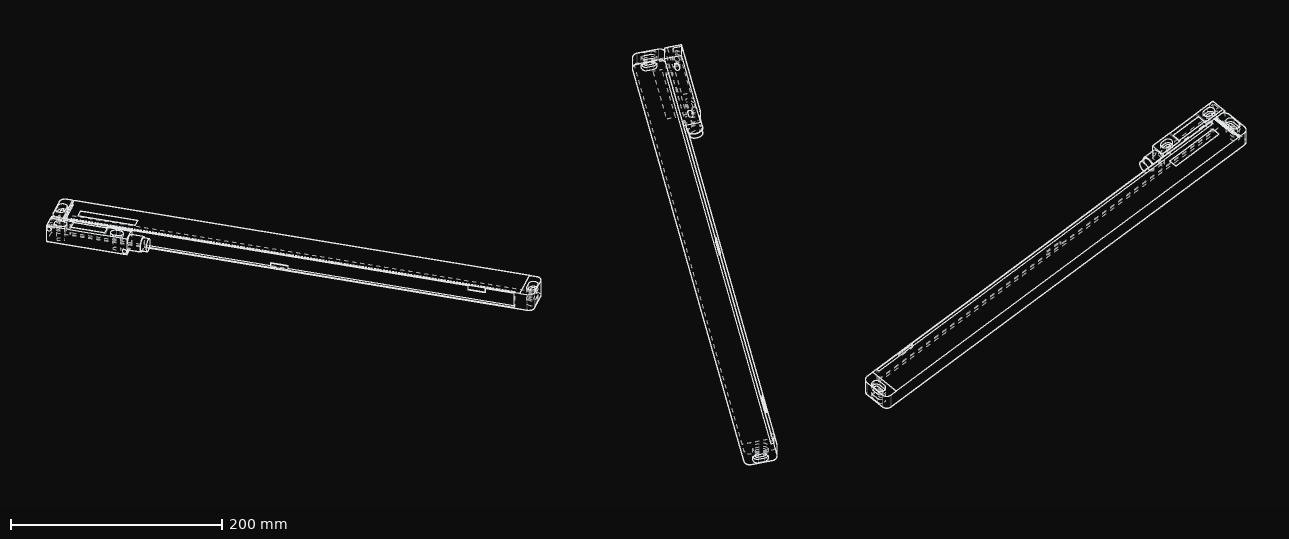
import cadquery as cq

length = 475.0
height = 18.0
total_depth = 49.0
housing_depth = 32.5
housing_front = total_depth - housing_depth
housing_mid_y = housing_front + housing_depth / 2
relief = 0.25

corner_radius = 5.5
end_cap_length = 13.0
end_hole_inset = 5.0
end_slot_straight = 6.0
end_slot_width = 4.5
end_counterbore_width = 9.0
counterbore_depth = 5.5

groove_start = 11.5
deep_groove_width = 1.5
shelf_width = 3.0
shelf_length = 24.5
shelf_relief = relief / 2

label_start = 23.8
label_length = 56.5
label_width = 8.5
label_back_gap = 15.5

track_inset = 18.5
track_depth = 3.0
lip_thickness = 1.0
tab_length = 17.0
tab_drop = 5.5
lower_tab_x = 224.5
upper_tab_x = 419.5

head_length = 79.5
head_depth = housing_front
head_mid_x = head_length / 2
ledge_width = 3.0
pad_length = 22.0
pad_slope = 1.5
plateau_length = 33.2
plateau_width = 8.5
plateau_front_gap = 4.5
bridge_offset = 10.0
bridge_length = 5.0
bridge_width = 1.0

head_slot_inset = 12.0
head_slot_y = 7.0
head_slot_straight = 4.0
head_slot_width = 4.5
head_counterbore_width = 8.5

corner_hole_radius = 2.15
corner_hole_inset = 2.5
corner_hole_drop = 3.5
corner_hole_depth = 8.5

connector_y = head_depth / 2
collar_radius = 7.5
collar_length = 13.0
spigot_radius = 6.4
spigot_length = 5.5


def box(x, y, z, size_x, size_y, size_z):
    """Box given by its lowest corner and its sizes."""
    return cq.Workplane("XY").box(size_x, size_y, size_z, centered=False).translate((x, y, z))


def slot(x, y, z, straight, width, depth, angle):
    """Round-ended slot cutter rising from z; `straight` is the distance between its end centres."""
    return cq.Workplane("XY", origin=(x, y, z)).slot2D(straight + width, width, angle).extrude(depth)


def make_end_holes():
    """Slotted mounting holes at both ends, counterbored from above and below."""
    holes = cq.Workplane("XY")
    for x in (end_hole_inset, length - end_hole_inset):
        holes = holes.add(slot(x, housing_mid_y, 0, end_slot_straight, end_slot_width, height, 90))
        for z in (0, height - counterbore_depth):
            holes = holes.add(
                slot(x, housing_mid_y, z, end_slot_straight, end_counterbore_width, counterbore_depth, 90)
            )
    return holes.combine()


def make_track():
    """Long recess in the front face, between two thin lips that each carry one tab."""
    track = box(track_inset, housing_front, lip_thickness,
                length - 2 * track_inset, track_depth, height - 2 * lip_thickness)
    for tab_x, tab_z in ((lower_tab_x, 0), (upper_tab_x, height - tab_drop)):
        track = track.cut(
            box(tab_x - tab_length / 2, housing_front, tab_z, tab_length, lip_thickness, tab_drop)
        )
    return track


def make_housing():
    body = box(0, housing_front, 0, length, housing_depth, height).edges("|Z").fillet(corner_radius)
    relief_z = height - relief

    right_cap = box(length - end_cap_length, housing_front, relief_z, end_cap_length, housing_depth, relief)

    deep_groove = box(groove_start, housing_front, relief_z, deep_groove_width, housing_depth, relief)
    shelf = box(groove_start, housing_front, height - shelf_relief, shelf_width, shelf_length, shelf_relief)

    label_y = total_depth - label_back_gap - label_width
    label = box(label_start, label_y, relief_z, label_length, label_width, relief)

    for cutter in (right_cap, deep_groove, shelf, label, make_track(), make_end_holes()):
        body = body.cut(cutter)
    return body


def make_pad_layer():
    """Raised areas on top of the head: two sloped end pads, a middle plateau and two bridges."""
    base_z = height - relief
    pad_width = head_depth - ledge_width
    left_pad = (
        cq.Workplane("XZ")
        .polyline([(0, base_z), (pad_length + pad_slope, base_z), (pad_length, height), (0, height)])
        .close()
        .extrude(-pad_width)
    )
    right_pad = left_pad.mirror("YZ").translate((head_length, 0, 0))
    plateau = box(head_mid_x - plateau_length / 2, plateau_front_gap, base_z,
                  plateau_length, plateau_width, relief)
    layer = left_pad.union(right_pad).union(plateau)
    for x in (head_mid_x - bridge_offset, head_mid_x + bridge_offset):
        layer = layer.union(
            box(x - bridge_length / 2, head_depth - bridge_width, base_z, bridge_length, bridge_width, relief)
        )
    return layer


def make_connector():
    """Stepped round cable outlet on the head's right end."""
    collar = cq.Workplane("YZ", origin=(head_length, connector_y, height / 2)).circle(collar_radius)
    return collar.extrude(collar_length).faces(">X").workplane().circle(spigot_radius).extrude(spigot_length)


def make_head():
    body = box(0, 0, 0, head_length, head_depth, height - relief)
    body = body.union(make_pad_layer()).union(make_connector())

    for x in (head_slot_inset, head_length - head_slot_inset):
        body = body.cut(slot(x, head_slot_y, 0, head_slot_straight, head_slot_width, height, 0))
        body = body.cut(
            slot(x, head_slot_y, height - counterbore_depth,
                 head_slot_straight, head_counterbore_width, counterbore_depth, 0)
        )

    hole_centres = (
        (corner_hole_inset, height - corner_hole_drop),
        (head_length - corner_hole_inset, corner_hole_drop),
    )
    for centre in hole_centres:
        body = body.cut(cq.Workplane("XZ").center(*centre).circle(corner_hole_radius).extrude(-corner_hole_depth))
    return body


housing = make_housing()
head = make_head()
result = cq.Compound.makeCompound([housing.val(), head.val()])